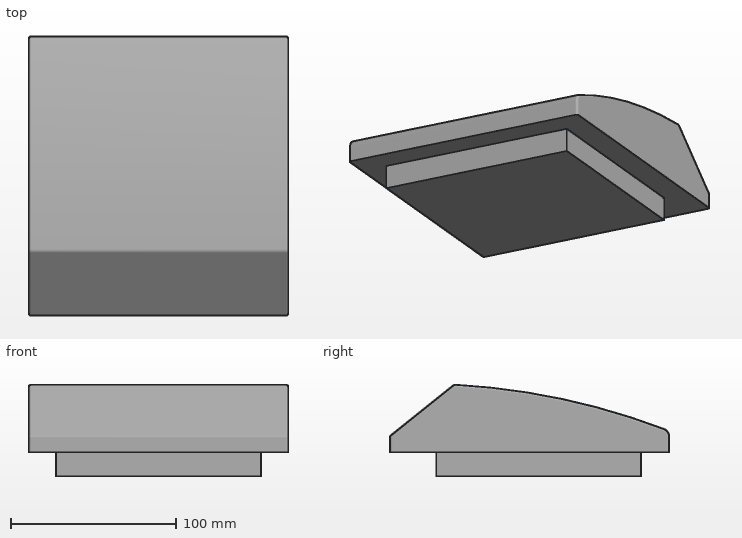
import cadquery as cq

body_width = 157.0
body_length = 169.0
ridge_height = 41.06
front_wall_height = 9.8
back_wall_height = 13.0
ridge_setback = 39.0
crown_radius = 420.0

back_top_radius = 5.0
ridge_radius = 3.0
edge_radius = 1.5

plug_side = 124.0
plug_depth = 14.5
plug_front_setback = 28.0


def make_body():
    """Side outline with a convex crown, extruded across the full width."""
    profile = (
        cq.Workplane("YZ")
        .lineTo(body_length, 0)
        .lineTo(body_length, back_wall_height)
        .radiusArc((ridge_setback, ridge_height), -crown_radius)
        .lineTo(0, front_wall_height)
        .close()
    )
    return profile.extrude(body_width / 2, both=True)


def round_edges(body):
    """Round the back top edge and the ridge, then every other edge above the flat underside."""
    back_rounded = body.faces(">Y").edges(">Z").fillet(back_top_radius)
    ridge_rounded = back_rounded.edges("|X").edges(">Z").fillet(ridge_radius)
    return ridge_rounded.edges("not(<Z)").edges("(not |X) or <Y").fillet(edge_radius)


def make_plug():
    """Square block hanging below the body."""
    return (
        cq.Workplane("XY")
        .center(0, plug_front_setback + plug_side / 2)
        .rect(plug_side, plug_side)
        .extrude(-plug_depth)
    )


result = round_edges(make_body()).union(make_plug())